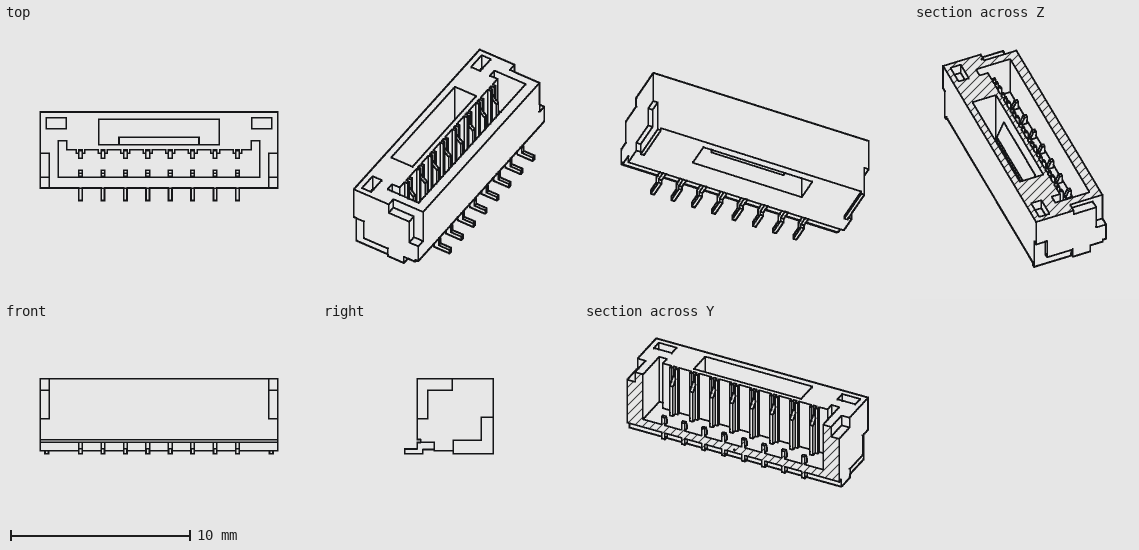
import cadquery as cq


length = 13.25
depth = 4.25
height = 4.2
standoff = 0.17
lead_recess_depth = 0.95
lead_recess_top = 0.65
lip_depth = 0.2
lip_top = 0.8

relief_width = 0.5
relief_top_depth = 1.95
relief_top_height = 0.65
relief_front_depth = 0.6
relief_bottom = 1.95

wall_front = 0.6
wall_end = 1.0
cavity_back = 2.15
cavity_floor = 1.2
key_width = 0.48
key_back = 2.65
guide_width = 0.5
guide_projection = 0.2

window_length = 6.7
window_front = 2.43
window_back = 3.83
latch_length = 4.46
latch_projection = 0.42
latch_bottom = 1.4
latch_tip_height = 0.3
latch_ramp_height = 1.03
pocket_length = 1.12
pocket_width = 0.6
pocket_depth = 1.0
pocket_end_gap = 0.33
pocket_back_gap = 0.34

contact_count = 8
pitch = 1.25
contact_width = 0.2
lead_reach = 0.7
foot_height = 0.28
foot_heel = 0.32
shank_bottom = 0.24
spring_front = 1.68
spring_back = 2.08
spring_top = 3.57
spring_ramp_height = 0.4
stub_front = 0.67
stub_back = 1.0
stub_height = 0.5
stub_ramp_depth = (stub_back - stub_front) / 2
stub_ramp_height = 0.4

tab_inset = 0.27
tab_thickness = 0.2
tab_upright_depth = 0.67
tab_upright_top = 2.05
tab_front = 2.01
tab_foot_top = 0.76

contact_positions = [(i - (contact_count - 1) / 2) * pitch for i in range(contact_count)]


def block(x_range, y_range, z_range):
    """Box spanning the given (low, high) ranges."""
    size = [high - low for low, high in (x_range, y_range, z_range)]
    corner = (x_range[0], y_range[0], z_range[0])
    return cq.Workplane("XY").box(*size, centered=False).translate(corner)


def centred(width, middle=0):
    return (middle - width / 2, middle + width / 2)


def side_plate(outline, x_range):
    """Extrude a (Y, Z) outline along X."""
    plane = cq.Workplane("YZ", origin=(x_range[0], 0, 0))
    return plane.polyline(outline).close().extrude(x_range[1] - x_range[0])


def both_ends(shape):
    return shape.union(shape.mirror("YZ"))


def make_shell():
    outline = [
        (0, lip_top),
        (lip_depth, lip_top),
        (lip_depth, lead_recess_top),
        (lead_recess_depth, lead_recess_top),
        (lead_recess_depth, standoff),
        (depth, standoff),
        (depth, height),
        (0, height),
    ]
    return side_plate(outline, centred(length))


def make_end_reliefs():
    outline = [
        (0, relief_bottom),
        (relief_front_depth, relief_bottom),
        (relief_front_depth, height - relief_top_height),
        (relief_top_depth, height - relief_top_height),
        (relief_top_depth, height),
        (0, height),
    ]
    end = -length / 2
    return both_ends(side_plate(outline, (end, end + relief_width)))


def make_cavity():
    left = -length / 2 + wall_end
    levels = (cavity_floor, height)
    keyway = block((left, left + key_width), (wall_front, key_back), levels)
    return block((left, -left), (wall_front, cavity_back), levels).union(both_ends(keyway))


def make_window():
    return block(centred(window_length), (window_front, window_back), (0, height))


def make_latch():
    """Ramped latch bar on the front wall of the window."""
    latch_back = window_front + latch_projection
    outline = [
        (window_front, latch_bottom),
        (latch_back, latch_bottom),
        (latch_back, latch_bottom + latch_tip_height),
        (window_front, latch_bottom + latch_tip_height + latch_ramp_height),
    ]
    return side_plate(outline, centred(latch_length))


def make_pockets():
    left = -length / 2 + pocket_end_gap
    back = depth - pocket_back_gap
    pocket = block(
        (left, left + pocket_length), (back - pocket_width, back), (height - pocket_depth, height)
    )
    return both_ends(pocket)


def make_guides(x):
    """Pair of rails on the rear cavity wall, one on each side of a contact."""
    rail_range = (cavity_back - guide_projection, cavity_back)
    levels = (cavity_floor, height)
    rails = block(centred(guide_width, x), rail_range, levels)
    return rails.cut(block(centred(contact_width, x), rail_range, levels))


def make_contact(x):
    x_range = centred(contact_width, x)
    lead = side_plate(
        [
            (-lead_reach, 0),
            (foot_heel, 0),
            (foot_heel, shank_bottom),
            (cavity_back, shank_bottom),
            (cavity_back, lead_recess_top),
            (0, lead_recess_top),
            (0, foot_height),
            (-lead_reach, foot_height),
        ],
        x_range,
    )
    spring = side_plate(
        [
            (spring_front, lead_recess_top),
            (cavity_back, lead_recess_top),
            (cavity_back, spring_top),
            (spring_back, spring_top),
            (spring_front, spring_top - spring_ramp_height),
        ],
        x_range,
    )
    stub_top = cavity_floor + stub_height
    stub = side_plate(
        [
            (stub_front, lead_recess_top),
            (stub_back, lead_recess_top),
            (stub_back, stub_top - stub_ramp_height),
            (stub_back - stub_ramp_depth, stub_top),
            (stub_front, stub_top),
        ],
        x_range,
    )
    return lead.union(spring).union(stub)


def make_tabs(outer, inner):
    """L-shaped plates at both rear ends, between two distances from the end faces."""
    outline = [
        (tab_front, 0),
        (depth, 0),
        (depth, tab_upright_top),
        (depth - tab_upright_depth, tab_upright_top),
        (depth - tab_upright_depth, tab_foot_top),
        (tab_front, tab_foot_top),
    ]
    end = -length / 2
    return both_ends(side_plate(outline, (end + outer, end + inner)))


housing = make_shell().cut(make_end_reliefs()).cut(make_cavity())
housing = housing.cut(make_window()).cut(make_pockets())
housing = housing.cut(make_tabs(0, tab_inset))
housing = housing.union(make_latch())

result = housing.union(make_tabs(tab_inset, tab_inset + tab_thickness))
for position in contact_positions:
    result = result.union(make_guides(position)).union(make_contact(position))